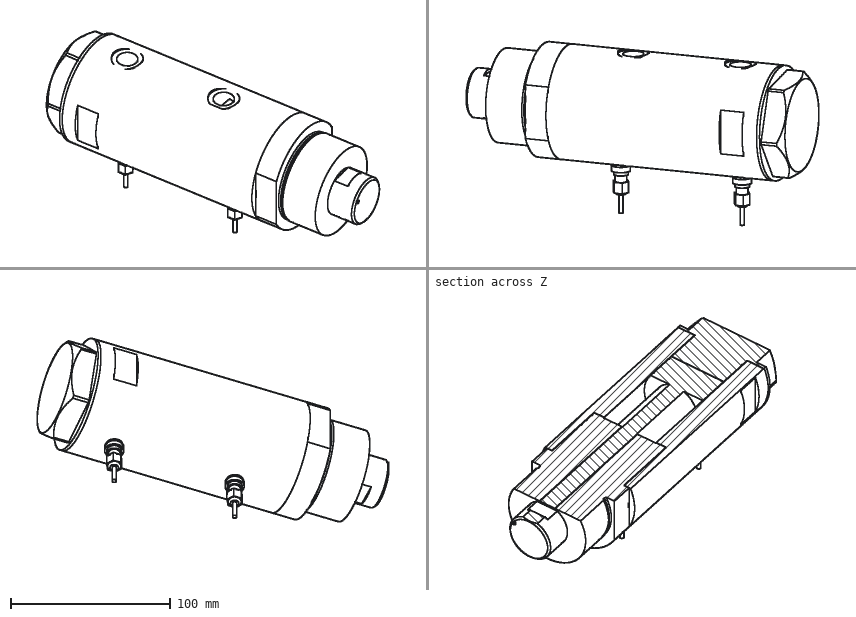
import cadquery as cq
import math


cap_hex_end = 14.5
barrel_start = 16.5
cap_spigot_end = 41.9
head_spigot_start = 113.6
barrel_end = 158.4
head_flange_end = 174.0
groove_start = 175.2
groove_end = 176.0
gland_start = 177.2
gland_end = 201.5
rod_flats_end = 211.5
rod_end = 220.9
pip_end = 221.5

barrel_radius = 36.5
bore_radius = 25.0
head_spigot_radius = 31.5
gland_radius = 60.0 / 2
groove_radius = 29.2
groove_rim_radius = 29.7
rod_radius = 31.7 / 2

hex_across_flats = 59.8
hex_corner_radius = 68.0 / 2
hex_face_radius = 29.5
hex_chamfer_length = 4.0
hex_turn = 8.0

barrel_flat_start = 26.1
barrel_flat_end = 41.6
barrel_flat_offset = 33.7
head_flat_offset = 32.1
rod_flat_offset = 13.7

port_positions = (41.5, 113.6)
port_radius = 6.6
port_seat_radius = 10.0
port_seat_depth = 1.0

piston_length = 22.2
rod_chamfer = 1.3
pip_radius = 1.0
pip_y = -11.3
pip_z = 7.8

sensor_positions = (40.3, 122.0)
sensor_top = 33.2
collar_top = 37.7
collar_bottom = 41.2
shoulder_bottom = 43.6
neck_bottom = 48.0
nut_bottom = 55.2
cone_bottom = 56.5
cable_bottom = 68.7
stem_radius = 5.5
collar_radius = 6.0
shoulder_radius = 4.7
neck_radius = 3.8
nut_across_corners = 10.5
cone_top_radius = 4.2
cone_bottom_radius = 2.7
cable_radius = 1.3


def rod_along_x(radius, start, end):
    """A cylinder on the main axis between two X positions."""
    return cq.Workplane("YZ", origin=(start, 0, 0)).circle(radius).extrude(end - start)


def revolve_about_x(points):
    """A turned shape from (x, radius) points."""
    return cq.Workplane("XY").polyline(points).close().revolve(360, (0, 0, 0), (1, 0, 0))


def cylinder_down(x, radius, top, bottom):
    """A vertical cylinder at X = x between two depths below the axis."""
    return cq.Workplane("XY", origin=(x, 0, -bottom)).circle(radius).extrude(bottom - top)


def slab_pair(start, end, offset, normal):
    """Two blocks that cut parallel flats at the given offset on both sides of the axis."""
    size = 2 * barrel_radius
    slabs = cq.Workplane("XY")
    for side in (-1, 1):
        centre = cq.Vector((start + end) / 2, 0, 0) + normal * (side * (offset + size / 2))
        slabs = slabs.add(cq.Workplane("XY").box(end - start, size, size).translate(centre))
    return slabs.combine()


def make_barrel():
    barrel = rod_along_x(barrel_radius, barrel_start, barrel_end)
    barrel = barrel.cut(rod_along_x(bore_radius, barrel_start, head_spigot_start))
    barrel = barrel.cut(rod_along_x(head_spigot_radius, head_spigot_start, barrel_end))
    barrel = barrel.cut(slab_pair(barrel_flat_start, barrel_flat_end, barrel_flat_offset, cq.Vector(0, 1, 0)))
    for x in port_positions:
        port = cq.Workplane("XY", origin=(x, 0, 0)).circle(port_radius).extrude(barrel_radius)
        seat = cq.Workplane("XY", origin=(x, 0, barrel_radius - port_seat_depth))
        barrel = barrel.cut(port).cut(seat.circle(port_seat_radius).extrude(port_seat_depth))
    for x in sensor_positions:
        barrel = barrel.cut(cylinder_down(x, stem_radius, sensor_top, collar_top))
        barrel = barrel.cut(cylinder_down(x, collar_radius, collar_top, collar_bottom))
    return barrel


def make_cap():
    across_corners = hex_across_flats / math.cos(math.pi / 6)
    hexagon = cq.Workplane("YZ").polygon(6, across_corners).extrude(cap_hex_end)
    hexagon = hexagon.rotate((0, 0, 0), (1, 0, 0), -hex_turn)
    turned_envelope = revolve_about_x([
        (0, 0),
        (0, hex_face_radius),
        (hex_chamfer_length, hex_corner_radius),
        (cap_hex_end, hex_corner_radius),
        (cap_hex_end, 0),
    ])
    cap = hexagon.intersect(turned_envelope)
    cap = cap.union(rod_along_x(barrel_radius, cap_hex_end, barrel_start))
    return cap.union(rod_along_x(bore_radius, barrel_start, cap_spigot_end))


def make_head():
    head = revolve_about_x([
        (head_spigot_start, rod_radius),
        (head_spigot_start, head_spigot_radius),
        (barrel_end, head_spigot_radius),
        (barrel_end, barrel_radius),
        (head_flange_end, barrel_radius),
        (head_flange_end, groove_rim_radius),
        (groove_start, groove_radius),
        (groove_end, groove_radius),
        (gland_start, gland_radius),
        (gland_end, gland_radius),
        (gland_end, rod_radius),
    ])
    return head.cut(slab_pair(barrel_end, head_flange_end, head_flat_offset, cq.Vector(0, 1, 0)))


def make_piston_rod():
    piston_end = cap_spigot_end + piston_length
    piston_rod = revolve_about_x([
        (cap_spigot_end, 0),
        (cap_spigot_end, bore_radius),
        (piston_end, bore_radius),
        (piston_end, rod_radius),
        (rod_end - rod_chamfer, rod_radius),
        (rod_end, rod_radius - rod_chamfer),
        (rod_end, 0),
    ])
    pip = cq.Workplane("YZ", origin=(rod_end, pip_y, pip_z)).circle(pip_radius)
    piston_rod = piston_rod.union(pip.extrude(pip_end - rod_end))
    return piston_rod.cut(slab_pair(gland_end, rod_flats_end, rod_flat_offset, cq.Vector(0, 0, 1)))


def make_sensor(x):
    sensor = cylinder_down(x, stem_radius, sensor_top, collar_top)
    sensor = sensor.union(cylinder_down(x, collar_radius, collar_top, collar_bottom))
    sensor = sensor.union(cylinder_down(x, shoulder_radius, collar_bottom, shoulder_bottom))
    sensor = sensor.union(cylinder_down(x, neck_radius, shoulder_bottom, neck_bottom))
    nut = cq.Workplane("XY", origin=(x, 0, -nut_bottom)).polygon(6, nut_across_corners)
    sensor = sensor.union(nut.extrude(nut_bottom - neck_bottom))
    cone = cq.Workplane("XY", origin=(x, 0, -nut_bottom)).circle(cone_top_radius)
    cone = cone.workplane(offset=nut_bottom - cone_bottom).circle(cone_bottom_radius).loft()
    return sensor.union(cone).union(cylinder_down(x, cable_radius, cone_bottom, cable_bottom))


barrel = make_barrel()
cap = make_cap()
head = make_head()
piston_rod = make_piston_rod()
sensors = [make_sensor(x) for x in sensor_positions]

result = cq.Compound.makeCompound([
    barrel.val(),
    cap.val(),
    head.val(),
    piston_rod.val(),
    *[sensor.val() for sensor in sensors],
])